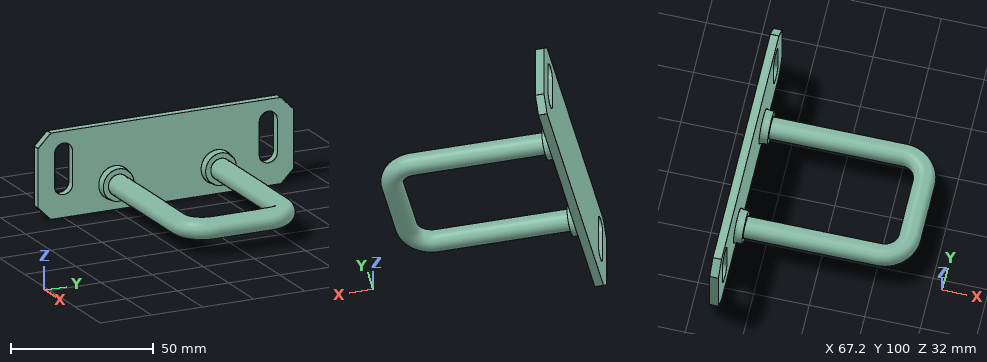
import cadquery as cq

plate_thickness = 3.2
plate_length = 100.0
plate_height = 32.0
corner_chamfer = 5.0

slot_width = 7.0
slot_length = 19.0
slot_spacing = 80.0
slot_center_z = 2.0

bar_diameter = 8.0
bar_spacing = 40.0
bar_center_z = -6.0
bend_radius = 9.0
overall_depth = 67.2

collar_foot_diameter = 12.6
collar_foot_length = 1.0
collar_diameter = 12.0
collar_length = 3.0


def make_plate():
    plate = cq.Workplane("YZ").rect(plate_length, plate_height).extrude(plate_thickness)
    plate = plate.edges("|X").chamfer(corner_chamfer)
    slots = (
        cq.Workplane("YZ")
        .pushPoints([(side * slot_spacing / 2, slot_center_z) for side in (-1, 1)])
        .slot2D(slot_length, slot_width, 90)
        .extrude(plate_thickness)
    )
    return plate.cut(slots)


def make_loop():
    half_spacing = bar_spacing / 2
    crossbar_x = overall_depth - bar_diameter / 2
    bend_start_x = crossbar_x - bend_radius
    bend_end_y = half_spacing - bend_radius
    path = (
        cq.Workplane("XY", origin=(0, 0, bar_center_z))
        .moveTo(plate_thickness, -half_spacing)
        .lineTo(bend_start_x, -half_spacing)
        .tangentArcPoint((crossbar_x, -bend_end_y), relative=False)
        .lineTo(crossbar_x, bend_end_y)
        .tangentArcPoint((bend_start_x, half_spacing), relative=False)
        .lineTo(plate_thickness, half_spacing)
    )
    start = (plate_thickness, -half_spacing, bar_center_z)
    return cq.Workplane("YZ", origin=start).circle(bar_diameter / 2).sweep(path)


def make_collar(center_y):
    collar_end = plate_thickness + collar_length
    foot_end = plate_thickness + collar_foot_length
    profile = (
        cq.Workplane("XY", origin=(0, center_y, bar_center_z))
        .moveTo(plate_thickness, 0)
        .lineTo(plate_thickness, collar_foot_diameter / 2)
        .lineTo(foot_end, collar_diameter / 2)
        .lineTo(collar_end, collar_diameter / 2)
        .lineTo(collar_end, 0)
        .close()
    )
    return profile.revolve(360, (0, 0, 0), (1, 0, 0))


result = make_plate().union(make_loop())
for side in (-1, 1):
    result = result.union(make_collar(side * bar_spacing / 2))